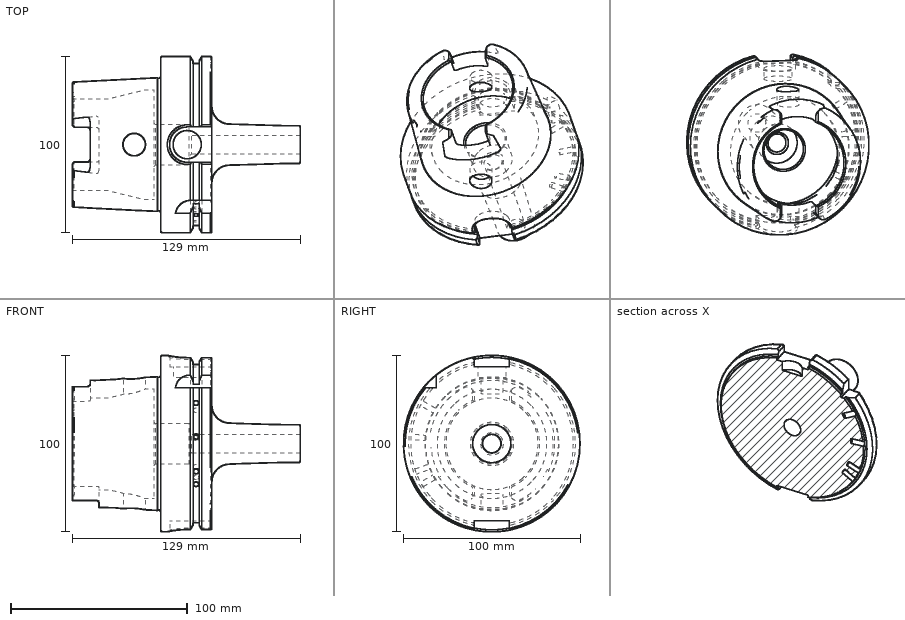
import cadquery as cq
import math

SHANK_LENGTH = 50.0
SHANK_TIP_RADIUS = 35.5
SHANK_BASE_RADIUS = 37.9
RELIEF_START = 2.0
RELIEF_STEP = 0.3
RELIEF_BLEND = 1.2
EDGE_ROUND = 1.0

FLANGE_RADIUS = 50.0
FLANGE_WIDTH = 29.0
GROOVE_CENTRE = 20.0
GROOVE_TOP_WIDTH = 6.6
GROOVE_FLOOR_WIDTH = 3.4
GROOVE_FLOOR_RADIUS = 46.0
GROOVE_FLANK_ANGLE = 30.0

OVERALL_LENGTH = 129.0
NOSE_RADIUS = 10.8
NOSE_ROOT_RADIUS = 11.7
NOSE_STRAIGHT = 10.0
NOSE_FILLET = 10.0

CAVITY_RADIUS = 26.0
CAVITY_MOUTH_LENGTH = 20.0
CAVITY_CONE_LENGTH = 20.8
CAVITY_INNER_RADIUS = 31.0
CAVITY_DEPTH = 46.0
CAVITY_CHAMFER = 0.9
TUBE_BORE_RADIUS = 11.4
TUBE_BORE_DEPTH = 20.0
TUBE_BORE_CHAMFER = 0.9
COOLANT_RADIUS = 5.2
COOLANT_CHAMFER = 1.2

CROSS_HOLE_DIAMETER = 12.6
CROSS_HOLE_X = -15.0

DRIVE_SLOT_HALF_WIDTH = 9.8
DRIVE_SLOT_SHOULDER = 32.3
DRIVE_SLOT_LIP_ROUND = 5.0
DRIVE_SLOT_FLOOR_FILLET = 1.5
DRIVE_SLOT_CHAMFER = 1.2
UPPER_SLOT_DEPTH = 10.0
LOWER_SLOT_DEPTH = 15.0

KEY_SLOT_RADIUS = 10.0
KEY_SLOT_X = 15.0
KEY_SLOT_FLOOR = 43.6
KEY_SLOT_CHAMFER = 1.25
RIM_MARGIN = 0.1
CHIP_HOLE_DIAMETER = 16.0
CHIP_HOLE_DEPTH = 6.0

NOTCH_OFFSET = 31.5
NOTCH_END_RADIUS = 9.0
NOTCH_END_X = 17.2

RADIAL_HOLE_DIAMETER = 3.0
RADIAL_HOLE_DEPTH = 8.0
RADIAL_HOLE_ANGLES = (30.0, 5.0, -20.0, -30.0)

TIP_X = -SHANK_LENGTH
NOSE_END = OVERALL_LENGTH - SHANK_LENGTH
CLEARANCE = 2.0
DIAGONAL = math.sqrt(0.5)


def revolve_about_x(profile):
    return profile.close().revolve(360, (0, 0, 0), (1, 0, 0))


def round_corner(profile, centre_x, x_side, outer_radius, end):
    """Add an edge-round arc ending at `end`; x_side is -1 for a shank-facing corner, 1 for a nose-facing one."""
    reach = EDGE_ROUND * DIAGONAL
    middle = (centre_x + x_side * reach, outer_radius - EDGE_ROUND + reach)
    return profile.threePointArc(middle, end)


def make_body():
    relief_radius = SHANK_BASE_RADIUS - RELIEF_STEP
    straight_start = NOSE_END - NOSE_STRAIGHT
    fillet_centre = (FLANGE_WIDTH + NOSE_FILLET, NOSE_ROOT_RADIUS + NOSE_FILLET)
    fillet_middle = (
        fillet_centre[0] - NOSE_FILLET * DIAGONAL,
        fillet_centre[1] - NOSE_FILLET * DIAGONAL,
    )
    blend_middle = (-RELIEF_BLEND * (1 - DIAGONAL), relief_radius + RELIEF_BLEND * (1 - DIAGONAL))

    profile = cq.Workplane("XY").moveTo(TIP_X, 0).lineTo(TIP_X, SHANK_TIP_RADIUS - EDGE_ROUND)
    tip_round_end = (TIP_X + EDGE_ROUND, SHANK_TIP_RADIUS)
    profile = round_corner(profile, TIP_X + EDGE_ROUND, -1, SHANK_TIP_RADIUS, tip_round_end)
    profile = (
        profile.lineTo(-RELIEF_START, SHANK_BASE_RADIUS)
        .lineTo(-RELIEF_START + RELIEF_STEP, relief_radius)
        .lineTo(-RELIEF_BLEND, relief_radius)
        .threePointArc(blend_middle, (0, relief_radius + RELIEF_BLEND))
        .lineTo(0, FLANGE_RADIUS - EDGE_ROUND)
    )
    profile = round_corner(profile, EDGE_ROUND, -1, FLANGE_RADIUS, (EDGE_ROUND, FLANGE_RADIUS))
    profile = profile.lineTo(FLANGE_WIDTH, FLANGE_RADIUS)
    profile = (
        profile.lineTo(FLANGE_WIDTH, fillet_centre[1])
        .threePointArc(fillet_middle, (fillet_centre[0], NOSE_ROOT_RADIUS))
        .lineTo(straight_start, NOSE_RADIUS)
        .lineTo(NOSE_END - EDGE_ROUND, NOSE_RADIUS)
    )
    nose_round_end = (NOSE_END, NOSE_RADIUS - EDGE_ROUND)
    profile = round_corner(profile, NOSE_END - EDGE_ROUND, 1, NOSE_RADIUS, nose_round_end)
    return revolve_about_x(profile.lineTo(NOSE_END, 0))


def make_flange_rounding():
    """Ring that takes the sharp nose-side corner off the flange."""
    round_start = FLANGE_WIDTH - EDGE_ROUND
    round_end = (FLANGE_WIDTH, FLANGE_RADIUS - EDGE_ROUND)
    profile = cq.Workplane("XY").moveTo(round_start, FLANGE_RADIUS)
    profile = round_corner(profile, round_start, 1, FLANGE_RADIUS, round_end)
    profile = (
        profile.lineTo(FLANGE_WIDTH + CLEARANCE, FLANGE_RADIUS - EDGE_ROUND)
        .lineTo(FLANGE_WIDTH + CLEARANCE, FLANGE_RADIUS + CLEARANCE)
        .lineTo(round_start, FLANGE_RADIUS + CLEARANCE)
    )
    return revolve_about_x(profile)


def make_groove():
    half_top = GROOVE_TOP_WIDTH / 2
    half_floor = GROOVE_FLOOR_WIDTH / 2
    flank_depth = (half_top - half_floor) / math.tan(math.radians(GROOVE_FLANK_ANGLE))
    flank_foot = FLANGE_RADIUS - flank_depth
    rim = FLANGE_RADIUS + CLEARANCE
    profile = cq.Workplane("XY").polyline([
        (GROOVE_CENTRE - half_top, rim),
        (GROOVE_CENTRE - half_top, FLANGE_RADIUS),
        (GROOVE_CENTRE - half_floor, flank_foot),
        (GROOVE_CENTRE - half_floor, GROOVE_FLOOR_RADIUS),
        (GROOVE_CENTRE + half_floor, GROOVE_FLOOR_RADIUS),
        (GROOVE_CENTRE + half_floor, flank_foot),
        (GROOVE_CENTRE + half_top, FLANGE_RADIUS),
        (GROOVE_CENTRE + half_top, rim),
    ])
    return revolve_about_x(profile)


def make_axial_bores():
    cavity_floor = TIP_X + CAVITY_DEPTH
    tube_floor = cavity_floor + TUBE_BORE_DEPTH
    profile = cq.Workplane("XY").polyline([
        (TIP_X, 0),
        (TIP_X, CAVITY_RADIUS + CAVITY_CHAMFER),
        (TIP_X + CAVITY_CHAMFER, CAVITY_RADIUS),
        (TIP_X + CAVITY_MOUTH_LENGTH, CAVITY_RADIUS),
        (TIP_X + CAVITY_MOUTH_LENGTH + CAVITY_CONE_LENGTH, CAVITY_INNER_RADIUS),
        (cavity_floor, CAVITY_INNER_RADIUS),
        (cavity_floor, TUBE_BORE_RADIUS + TUBE_BORE_CHAMFER),
        (cavity_floor + TUBE_BORE_CHAMFER, TUBE_BORE_RADIUS),
        (tube_floor, TUBE_BORE_RADIUS),
        (tube_floor, COOLANT_RADIUS + COOLANT_CHAMFER),
        (tube_floor + COOLANT_CHAMFER, COOLANT_RADIUS),
        (NOSE_END, COOLANT_RADIUS),
        (NOSE_END, 0),
    ])
    return revolve_about_x(profile)


def make_cross_hole():
    return (
        cq.Workplane("XY").center(CROSS_HOLE_X, 0)
        .circle(CROSS_HOLE_DIAMETER / 2).extrude(FLANGE_RADIUS, both=True)
    )


def make_drive_slot(depth):
    """Slot in the upper side of the shank end, with rounded lips running out to a flat on each side."""
    half = DRIVE_SLOT_HALF_WIDTH
    lip = DRIVE_SLOT_LIP_ROUND
    lip_base = DRIVE_SLOT_SHOULDER - lip
    lip_middle_y = half + lip * (1 - DIAGONAL)
    lip_middle_z = lip_base + lip * DIAGONAL
    reach = FLANGE_RADIUS / 2
    slot = (
        cq.Workplane("YZ", origin=(TIP_X - CLEARANCE, 0, 0))
        .moveTo(-half, 0)
        .lineTo(-half, lip_base)
        .threePointArc((-lip_middle_y, lip_middle_z), (-half - lip, DRIVE_SLOT_SHOULDER))
        .lineTo(-reach, DRIVE_SLOT_SHOULDER)
        .lineTo(-reach, FLANGE_RADIUS)
        .lineTo(reach, FLANGE_RADIUS)
        .lineTo(reach, DRIVE_SLOT_SHOULDER)
        .lineTo(half + lip, DRIVE_SLOT_SHOULDER)
        .threePointArc((lip_middle_y, lip_middle_z), (half, lip_base))
        .lineTo(half, 0)
        .close()
        .extrude(depth + CLEARANCE)
        .faces(">X").edges("not <Z").edges("not >Z").fillet(DRIVE_SLOT_FLOOR_FILLET)
    )
    entry = half + DRIVE_SLOT_CHAMFER
    chamfer_top = lip_base + math.sqrt(lip**2 - (lip - DRIVE_SLOT_CHAMFER) ** 2)
    chamfer = (
        cq.Workplane("XY")
        .polyline([
            (TIP_X, -entry),
            (TIP_X, entry),
            (TIP_X + DRIVE_SLOT_CHAMFER, half),
            (TIP_X + DRIVE_SLOT_CHAMFER, -half),
        ])
        .close()
        .extrude(chamfer_top)
    )
    return slot.union(chamfer)


def make_key_slot():
    """Round-ended slot in the top of the flange, open towards the nose."""
    length = FLANGE_WIDTH + CLEARANCE - KEY_SLOT_X
    return (
        cq.Workplane("XY", origin=(KEY_SLOT_X, 0, KEY_SLOT_FLOOR))
        .moveTo(0, KEY_SLOT_RADIUS)
        .threePointArc((-KEY_SLOT_RADIUS, 0), (0, -KEY_SLOT_RADIUS))
        .lineTo(length, -KEY_SLOT_RADIUS)
        .lineTo(length, KEY_SLOT_RADIUS)
        .close()
        .extrude(FLANGE_RADIUS - KEY_SLOT_FLOOR + CLEARANCE)
    )


def chamfer_key_slot_rims(body):
    """Break the edges where the slot walls meet the outside of the flange."""
    side = KEY_SLOT_RADIUS + RIM_MARGIN
    rim_bottom = math.sqrt(FLANGE_RADIUS**2 - KEY_SLOT_RADIUS**2) - RIM_MARGIN
    rim_top = FLANGE_RADIUS + RIM_MARGIN
    start = KEY_SLOT_X - side
    end = FLANGE_WIDTH + RIM_MARGIN
    upper = cq.selectors.BoxSelector((start, -side, rim_bottom), (end, side, rim_top), boundingbox=True)
    lower = cq.selectors.BoxSelector((start, -side, -rim_top), (end, side, -rim_bottom), boundingbox=True)
    return body.edges(upper + lower).chamfer(KEY_SLOT_CHAMFER)


def make_chip_hole():
    return (
        cq.Workplane("XY", origin=(KEY_SLOT_X, 0, KEY_SLOT_FLOOR - CHIP_HOLE_DEPTH))
        .circle(CHIP_HOLE_DIAMETER / 2).extrude(CHIP_HOLE_DEPTH)
    )


def make_orientation_notch():
    """Corner notch on the -Y +Z side, open towards the nose and ended by a cutter radius."""
    radius = NOTCH_END_RADIUS
    arc_start = (NOTCH_END_X, -NOTCH_OFFSET)
    arc_end = (NOTCH_END_X - radius, -NOTCH_OFFSET - radius)
    arc_middle = (NOTCH_END_X - radius * DIAGONAL, -NOTCH_OFFSET - radius * (1 - DIAGONAL))
    open_end = FLANGE_WIDTH + CLEARANCE
    return (
        cq.Workplane("XY", origin=(0, 0, NOTCH_OFFSET))
        .moveTo(*arc_start)
        .threePointArc(arc_middle, arc_end)
        .lineTo(arc_end[0], -FLANGE_RADIUS)
        .lineTo(open_end, -FLANGE_RADIUS)
        .lineTo(open_end, -NOTCH_OFFSET)
        .close()
        .extrude(FLANGE_RADIUS - NOTCH_OFFSET)
    )


def make_radial_hole(angle):
    return (
        cq.Workplane("XZ", origin=(GROOVE_CENTRE, -GROOVE_FLOOR_RADIUS + RADIAL_HOLE_DEPTH, 0))
        .circle(RADIAL_HOLE_DIAMETER / 2).extrude(RADIAL_HOLE_DEPTH + CLEARANCE / 2)
        .rotate((0, 0, 0), (1, 0, 0), -angle)
    )


def on_lower_side(shape):
    return shape.rotate((0, 0, 0), (1, 0, 0), 180)


result = make_body().cut(make_key_slot()).cut(on_lower_side(make_key_slot()))
result = chamfer_key_slot_rims(result)
result = result.cut(make_flange_rounding()).cut(make_groove()).cut(make_axial_bores()).cut(make_cross_hole())
result = result.cut(make_drive_slot(UPPER_SLOT_DEPTH))
result = result.cut(on_lower_side(make_drive_slot(LOWER_SLOT_DEPTH)))
result = result.cut(make_chip_hole()).cut(make_orientation_notch())
for hole_angle in RADIAL_HOLE_ANGLES:
    result = result.cut(make_radial_hole(hole_angle))